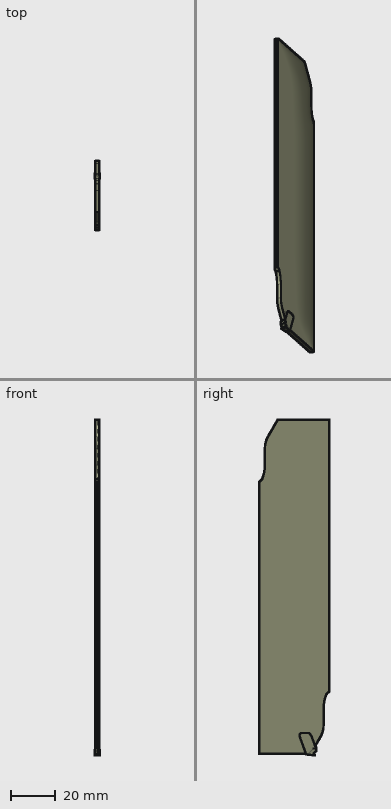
import cadquery as cq
import math


blade_thickness = 2.0
blade_width = 31.36
blade_top = 75.0
blade_bottom = -74.25
ridge_angle = 15.0

nose_setback = 8.3
nose_angle = 30.0
nose_radius = 11.0
relief_depth = 2.5
relief_end = 20.35
runout_end = 26.6
runout_depth = 1.3

cutting_width = 2.5
insert_angle = 20.0
flank_clearance = 6.0
tip_y = 9.3
tip_z = -75.0
insert_back_z = -64.9
heel_y = 5.35
seat_corner_radius = 1.2
clamp_y = 9.2
clamp_z = -70.5
clamp_end_z = -66.2
back_corner_y = 6.6
chip_valley = (8.6, -74.1)
chip_crest_y = 9.85
chip_crest_low_z = -73.0
chip_crest_high_z = -71.4

head_top_z = -71.8
head_taper_length = 2.7

half_width = blade_width / 2
half_thickness = blade_thickness / 2
center_z = (blade_top + blade_bottom) / 2
lean = math.tan(math.radians(insert_angle))


def relieved_corner():
    """Waste piece outside the relieved corner at the top -Y end, across the full thickness."""
    edge = -half_width
    slope = math.tan(math.radians(nose_angle))
    nose_end = (nose_setback - relief_depth) / slope
    blend = nose_radius * math.tan(math.radians(nose_angle / 2))
    blend_start_depth = relief_depth + blend * math.sin(math.radians(nose_angle))
    blend_start = nose_end - blend * math.cos(math.radians(nose_angle))
    blend_sagitta = nose_radius * (1 - math.cos(math.radians(nose_angle / 2)))
    blend_mid = nose_end + blend - nose_radius * math.sin(math.radians(nose_angle / 2))

    rise = relief_depth - runout_depth
    runout_length = runout_end - relief_end
    runout_radius = (runout_length**2 + rise**2) / (2 * rise)
    half_sweep = math.asin(runout_length / runout_radius) / 2
    runout_mid_depth = relief_depth - runout_radius * (1 - math.cos(half_sweep))
    runout_mid = relief_end + runout_radius * math.sin(half_sweep)

    def at(depth, distance):
        return (edge + depth, blade_top - distance)

    return (
        cq.Workplane("YZ", origin=(-half_thickness, 0, 0))
        .moveTo(*at(nose_setback, 0))
        .lineTo(*at(blend_start_depth, blend_start))
        .threePointArc(at(relief_depth + blend_sagitta, blend_mid), at(relief_depth, nose_end + blend))
        .lineTo(*at(relief_depth, relief_end))
        .threePointArc(at(runout_mid_depth, runout_mid), at(runout_depth, runout_end))
        .lineTo(*at(0, runout_end + runout_depth))
        .lineTo(*at(0, 0))
        .close()
        .extrude(blade_thickness)
    )


def insert_plate(width):
    """Insert outline in the YZ plane, extruded symmetrically about X = 0."""
    clearance = math.tan(math.radians(flank_clearance))
    heel_z = tip_z + (tip_y - heel_y) * clearance
    clamp_end_y = clamp_y - lean * (clamp_end_z - clamp_z)
    seat_back_y = heel_y - lean * (insert_back_z - heel_z)
    plate = (
        cq.Workplane("YZ", origin=(-width / 2, 0, 0))
        .polyline([
            (tip_y, tip_z),
            chip_valley,
            (chip_crest_y, chip_crest_low_z),
            (chip_crest_y, chip_crest_high_z),
            (clamp_y, clamp_z),
            (clamp_end_y, clamp_end_z),
            (back_corner_y, insert_back_z),
            (seat_back_y, insert_back_z),
            (heel_y, heel_z),
        ])
        .close()
        .extrude(width)
    )
    back_corner = cq.selectors.NearestToPointSelector((0, seat_back_y, insert_back_z))
    return plate.edges("|X").edges(back_corner).fillet(seat_corner_radius)


def cutting_head():
    """Wide front of the insert, narrowing at 45 degrees up and away from the tip."""
    reach = 2 * head_taper_length
    diagonal = cq.Plane(origin=(0, tip_y, tip_z), xDir=(1, 0, 0), normal=(0, -1, -1))
    taper = (
        cq.Workplane(diagonal)
        .polyline([
            (-cutting_width / 2, 0),
            (cutting_width / 2, 0),
            (half_thickness, head_taper_length),
            (-half_thickness, head_taper_length),
        ])
        .close()
        .extrude(reach, both=True)
    )
    below_head_top = (
        cq.Workplane("XY", origin=(0, tip_y, head_top_z))
        .rect(2 * reach, 2 * reach)
        .extrude(-reach)
    )
    return insert_plate(cutting_width).intersect(taper).intersect(below_head_top)


flat_half_width = half_width - half_thickness * math.tan(math.radians(ridge_angle))
bar = (
    cq.Workplane("XY", origin=(0, 0, blade_bottom))
    .polyline([
        (0, -half_width),
        (half_thickness, -flat_half_width),
        (half_thickness, flat_half_width),
        (0, half_width),
        (-half_thickness, flat_half_width),
        (-half_thickness, -flat_half_width),
    ])
    .close()
    .extrude(blade_top - blade_bottom)
)
top_relief = relieved_corner()
bottom_relief = top_relief.rotate((0, 0, center_z), (1, 0, center_z), 180)
pocket = insert_plate(blade_thickness)
blade = bar.cut(top_relief).cut(bottom_relief).cut(pocket)

insert = insert_plate(blade_thickness).union(cutting_head())

result = cq.Compound.makeCompound([blade.val(), insert.val()])